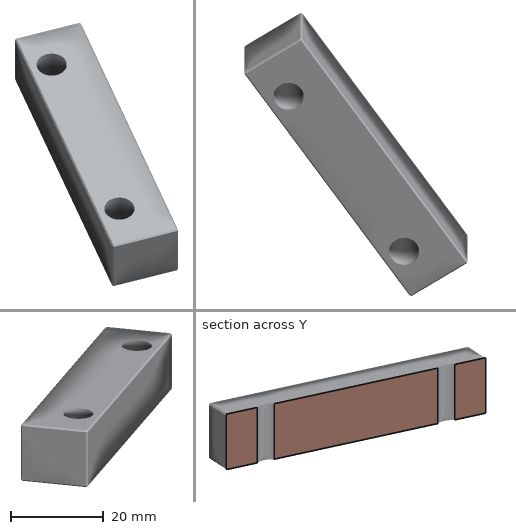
import cadquery as cq

length = 65.0
width = 15.0
height = 13.0
edge_chamfer = 0.3

hole_diameter = 6.5
hole_spacing = 45.0
hole_front_offset = 5.0
hole_y = hole_front_offset - width / 2

block = cq.Workplane("XY").box(length, width, height).edges().chamfer(edge_chamfer)

result = (
    block.faces(">Z")
    .workplane(origin=(0, 0, 0))
    .pushPoints([(side * hole_spacing / 2, hole_y) for side in (-1, 1)])
    .hole(hole_diameter)
)